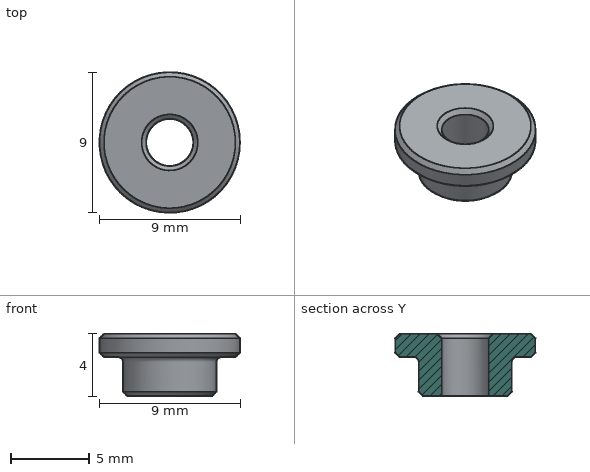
import cadquery as cq

flange_diameter = 9.0
flange_thickness = 1.5
body_diameter = 6.0
bore_diameter = 3.0
total_height = 4.0
edge_size = 0.3

body_length = total_height - flange_thickness

body = (
    cq.Workplane("XY")
    .circle(body_diameter / 2)
    .extrude(body_length)
    .faces("<Z")
    .chamfer(edge_size)
)

flange = (
    cq.Workplane("XY")
    .workplane(offset=body_length)
    .circle(flange_diameter / 2)
    .extrude(flange_thickness)
    .faces("<Z or >Z")
    .chamfer(edge_size)
)

bushing = body.union(flange)
smallest_circle = cq.selectors.RadiusNthSelector(0)
neck_face = cq.selectors.NearestToPointSelector((0, 0, body_length))
bushing = bushing.faces(neck_face).edges(smallest_circle).fillet(edge_size)

bore = cq.Workplane("XY").circle(bore_diameter / 2).extrude(total_height)
result = bushing.cut(bore).faces(">Z").edges(smallest_circle).chamfer(edge_size)